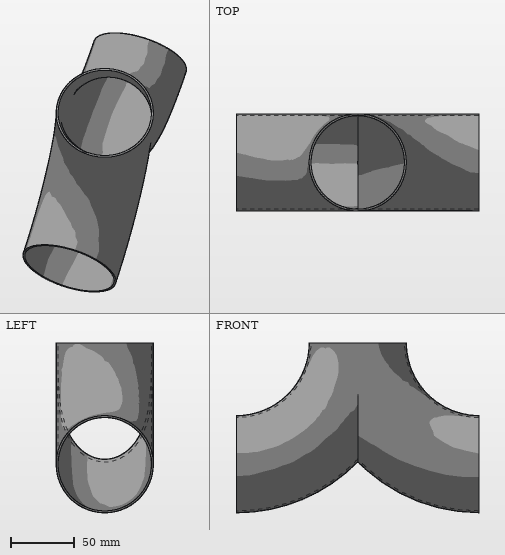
import cadquery as cq

overall_length = 190.0
outer_diameter = 76.2
wall = 1.5

bend_radius = overall_length / 2
outer_radius = outer_diameter / 2
bore_radius = outer_radius - wall


def elbow(radius, side):
    """Solid quarter bend from the top opening down to the end at side * X."""
    return (
        cq.Workplane("XY")
        .circle(radius)
        .revolve(90, (side * bend_radius, 0), (side * bend_radius, -side))
    )


def twin_bend(radius):
    """Two mirrored bends joined at their shared top opening."""
    return elbow(radius, -1).union(elbow(radius, 1))


result = twin_bend(outer_radius).cut(twin_bend(bore_radius))